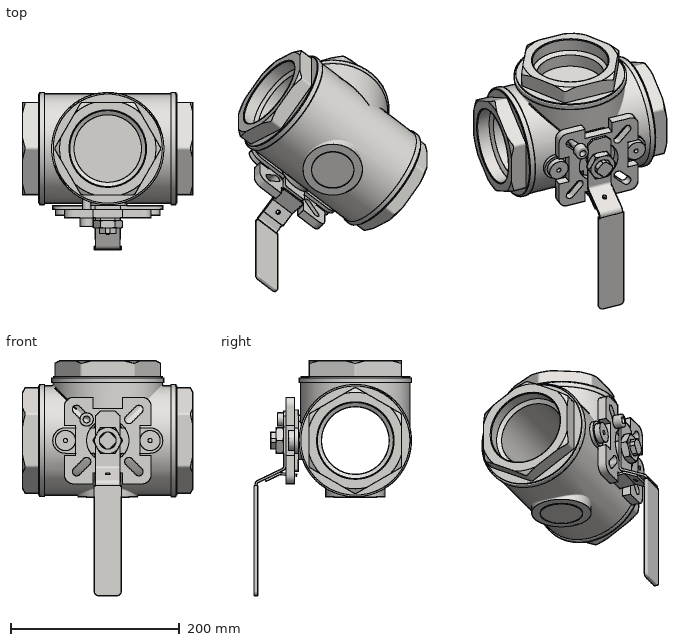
import cadquery as cq
import math

PIPE_DIAMETER = 130.0
FLANGE_DIAMETER = 133.0
FLANGE_WIDTH = 5.8
FLANGE_ROUNDING = 0.5
SEAM_ROUNDING = 1.0
SIDE_END = 100.95
BRANCH_END = 94.7
HEX_HEIGHT = 20.3
HEX_FLATS = 109.5
HEX_FACE_DIAMETER = 114.2
HEX_EDGE_ROUNDING = 4.0
COLLAR_WIDTH = 1.5
COLLAR_DIAMETER = 129.2
CHAMFER_ANGLE = 30
BORE_DIAMETER = 80.0
THREAD_DIAMETER = 90.0
THREAD_DEPTH = 16.0
BORE_START_DEPTH = 19.2
THREAD_MOUTH_DIAMETER = 92.0
BRANCH_FLOOR = 59.5

BASE_DIAMETER = 70.5
BASE_BOTTOM = -66.5
BASE_RING_DIAMETER = 50.0
BASE_RING_BOTTOM = -67.7

CROSS_BACK = 67.5
PLATE_BACK = 71.9
PLATE_FRONT = 82.2
LEVER_THICKNESS = 2.8
NUT_BACK = PLATE_FRONT + LEVER_THICKNESS
NUT_FRONT = 94.0
STEM_TIP = 100.3
PAD_FRONT = 79.0
SCREW_HEAD_FRONT = 92.5
SCREW_TIP = 55.7

BOSS_DIAMETER = 45.0
CROSS_ARM_WIDTH = 30.0
CROSS_HALF_HEIGHT = 36.5
CROSS_CORNER = 3.0
PAD_OFFSET = 50.0
PAD_DIAMETER = 24.0
PAD_HOLE_DIAMETER = 5.0
PAD_HOLE_DEPTH = 5.5
STEM_COLLAR_DIAMETER = 23.0
STEM_DIAMETER = 20.0
STEM_FLATS = 17.3

PLATE_SIZE = 102.5
PLATE_CORNER = 10.5
PLATE_HOLE_DIAMETER = 50.0
NOTCH_WIDTH = 35.0
NOTCH_FLOOR = 38.2
SLOT_WIDTH = 10.0
SLOT_TRAVEL = 16.7
SLOT_CENTRE_RADIUS = 43.7

NUT_FLATS = 30.4
NUT_FACE_DIAMETER = 31.2

SCREW_HEAD_DIAMETER = 16.0
SCREW_HEAD_ROUNDING = 1.0
SCREW_SOCKET_DIAMETER = 8.0
SCREW_SOCKET_DEPTH = 4.2

LEVER_WIDTH = 29.5
LEVER_TOP = 35.0
LEVER_TOP_CHAMFER = 6.0
LEVER_UPPER_BEND = -33.1
LEVER_LOWER_BEND = -49.5
LEVER_BOTTOM = BRANCH_END - 278.5
LEVER_HOLE_DIAMETER = 5.0
LEVER_HOLE_DISTANCE = 99.0
BEND_RADIUS = 3.3
GRIP_FRONT = 120.0
GRIP_THICKNESS = 4.7
GRIP_WIDTH = 32.0
GRIP_TOP = -53.5
GRIP_CORNER = 5.0
GRIP_ROUNDING = 0.97
CLIP_WIDTH = 30.5
CLIP_TAIL = 69.3
CLIP_TAIL_HEIGHT = -41.0
CLIP_START = 89.7
CLIP_END = 106.5


def front_plane(distance):
    """Workplane at a distance toward -Y, with local X along X, local Y along Z, normal along -Y."""
    return cq.Workplane("XZ", origin=(0, -distance, 0))


def front_cylinder(diameter, back, front, x=0, z=0):
    """Cylinder along Y between two distances toward -Y."""
    return front_plane(back).center(x, z).circle(diameter / 2).extrude(front - back)


def face_cone(face_diameter, reach, height):
    """Cylinder along Z whose top is turned down to a face circle at the hex chamfer angle."""
    drop = (reach - face_diameter / 2) * math.tan(math.radians(CHAMFER_ANGLE))
    profile = [(0, 0), (reach, 0), (reach, height - drop), (face_diameter / 2, height), (0, height)]
    return cq.Workplane("XZ").polyline(profile).close().revolve(360, (0, 0), (0, 1))


def hexagon(flats, height):
    """Hexagonal prism along Z with two corners on the X axis."""
    return cq.Workplane("XY").polygon(6, 2 * flats / math.sqrt(3)).extrude(height)


def port_head(end):
    """Flange, thin collar and hexagonal end of the pipe arm along +Z."""
    hex_start = end - HEX_HEIGHT
    flange = (
        cq.Workplane("XY", origin=(0, 0, hex_start - FLANGE_WIDTH))
        .circle(FLANGE_DIAMETER / 2)
        .extrude(FLANGE_WIDTH)
        .edges()
        .fillet(FLANGE_ROUNDING)
    )
    collar = cq.Workplane("XY", origin=(0, 0, hex_start)).circle(COLLAR_DIAMETER / 2).extrude(COLLAR_WIDTH)
    corner_reach = HEX_FLATS / math.sqrt(3)
    head = hexagon(HEX_FLATS, HEX_HEIGHT).edges("|Z").fillet(HEX_EDGE_ROUNDING)
    head = head.intersect(face_cone(HEX_FACE_DIAMETER, corner_reach, HEX_HEIGHT))
    return flange.union(collar).union(head.translate((0, 0, hex_start)))


def port_bore(end, floor):
    """Cutter for one port: bore down to a floor, tapered shoulder, threaded counterbore and mouth chamfer."""
    mouth_depth = (THREAD_MOUTH_DIAMETER - THREAD_DIAMETER) / 2
    profile = [
        (0, floor),
        (BORE_DIAMETER / 2, floor),
        (BORE_DIAMETER / 2, end - BORE_START_DEPTH),
        (THREAD_DIAMETER / 2, end - THREAD_DEPTH),
        (THREAD_DIAMETER / 2, end - mouth_depth),
        (THREAD_MOUTH_DIAMETER / 2, end),
        (0, end),
    ]
    return cq.Workplane("XZ").polyline(profile).close().revolve(360, (0, 0), (0, 1))


def to_side(shape, side):
    """Turns a shape built along +Z onto the +X (side = 1) or -X (side = -1) pipe arm."""
    return shape.rotate((0, 0, 0), (0, 1, 0), 90 * side)


def make_cross():
    """Cross behind the plate: a bar with round ends and an upright arm, with a pad on each bar end."""
    depth = PLATE_BACK - CROSS_BACK
    bar_length = 2 * PAD_OFFSET + CROSS_ARM_WIDTH
    bar = front_plane(CROSS_BACK).slot2D(bar_length, CROSS_ARM_WIDTH).extrude(depth)
    upright = (
        front_plane(CROSS_BACK)
        .rect(CROSS_ARM_WIDTH, 2 * CROSS_HALF_HEIGHT)
        .extrude(depth)
        .edges("|Y")
        .fillet(CROSS_CORNER)
    )
    cross = bar.union(upright)
    for side in (-1, 1):
        x = side * PAD_OFFSET
        cross = cross.union(front_cylinder(PAD_DIAMETER, PLATE_BACK, PAD_FRONT, x))
        cross = cross.cut(front_cylinder(PAD_HOLE_DIAMETER, PAD_FRONT - PAD_HOLE_DEPTH, PAD_FRONT, x))
    return cross


def squared_stem(back, front):
    """Round stem with four flats that leave a square standing on its corner."""
    square = front_plane(back).rect(STEM_FLATS, STEM_FLATS).extrude(front - back)
    square = square.rotate((0, 0, 0), (0, 1, 0), 45)
    return front_cylinder(STEM_DIAMETER, back, front).intersect(square)


def make_shell():
    """Through pipe, branch pipe and base disc, solid, with rounded seams between them."""
    branch = cq.Workplane("XY").circle(PIPE_DIAMETER / 2).extrude(BRANCH_END - HEX_HEIGHT)
    through = cq.Workplane("YZ").circle(PIPE_DIAMETER / 2).extrude(SIDE_END - HEX_HEIGHT, both=True)
    base = cq.Workplane("XY").circle(BASE_DIAMETER / 2).extrude(BASE_BOTTOM)
    shell = branch.union(through).union(base)
    shell = shell.edges("%BSPLINE").fillet(SEAM_ROUNDING)
    shell = shell.edges("%ELLIPSE").fillet(SEAM_ROUNDING)
    base_ring = cq.Workplane("XY").circle(BASE_RING_DIAMETER / 2).extrude(BASE_RING_BOTTOM)
    return shell.union(base_ring)


def make_housing():
    housing = make_shell().union(port_head(BRANCH_END))
    for side in (-1, 1):
        housing = housing.union(to_side(port_head(SIDE_END), side))
    boss = front_cylinder(BOSS_DIAMETER, PIPE_DIAMETER / 4, CROSS_BACK)
    collar = front_cylinder(STEM_COLLAR_DIAMETER, CROSS_BACK, PLATE_FRONT)
    housing = housing.union(boss).union(make_cross()).union(collar)
    housing = housing.union(squared_stem(PLATE_FRONT, STEM_TIP))

    housing = housing.cut(port_bore(BRANCH_END, BRANCH_FLOOR))
    for side in (-1, 1):
        housing = housing.cut(to_side(port_bore(SIDE_END, 0), side))
    return housing.cut(screw_shank())


def make_plate():
    depth = PLATE_FRONT - PLATE_BACK
    plate = (
        front_plane(PLATE_BACK)
        .rect(PLATE_SIZE, PLATE_SIZE)
        .extrude(depth)
        .edges("|Y")
        .fillet(PLATE_CORNER)
        .cut(front_cylinder(PLATE_HOLE_DIAMETER, PLATE_BACK, PLATE_FRONT))
    )
    notch_depth = PLATE_SIZE / 2 - NOTCH_FLOOR
    notch = (
        front_plane(PLATE_BACK)
        .center(NOTCH_FLOOR + notch_depth / 2, 0)
        .rect(notch_depth, NOTCH_WIDTH)
        .extrude(depth)
    )
    slot = (
        front_plane(PLATE_BACK)
        .center(SLOT_CENTRE_RADIUS, 0)
        .slot2D(SLOT_TRAVEL + SLOT_WIDTH, SLOT_WIDTH)
        .extrude(depth)
    )
    for quarter in range(4):
        plate = plate.cut(notch.rotate((0, 0, 0), (0, 1, 0), 90 * quarter))
        plate = plate.cut(slot.rotate((0, 0, 0), (0, 1, 0), 90 * quarter + 45))
    return plate


SCREW_OFFSET = (SLOT_CENTRE_RADIUS - SLOT_TRAVEL / 2) / math.sqrt(2)


def screw_shank():
    """Shank of the stop screw, at the inner end of the upper slot on the -X side."""
    return front_cylinder(SLOT_WIDTH, SCREW_TIP, PLATE_FRONT, -SCREW_OFFSET, SCREW_OFFSET)


def make_screw():
    head = front_cylinder(
        SCREW_HEAD_DIAMETER, PLATE_FRONT, SCREW_HEAD_FRONT, -SCREW_OFFSET, SCREW_OFFSET
    )
    head = head.faces("<Y").edges().fillet(SCREW_HEAD_ROUNDING)
    socket_radius = SCREW_SOCKET_DIAMETER / 2
    socket = cq.Workplane(
        cq.Solid.makeCone(
            socket_radius,
            0,
            SCREW_SOCKET_DEPTH,
            cq.Vector(-SCREW_OFFSET, -SCREW_HEAD_FRONT, SCREW_OFFSET),
            cq.Vector(0, 1, 0),
        )
    )
    return screw_shank().union(head).cut(socket)


def make_nut():
    height = NUT_FRONT - NUT_BACK
    turned = face_cone(NUT_FACE_DIAMETER, NUT_FLATS / math.sqrt(3), height)
    turned_back = turned.rotate((0, 0, 0), (1, 0, 0), 180).translate((0, 0, height))
    nut = hexagon(NUT_FLATS, height).intersect(turned).intersect(turned_back)
    nut = nut.cut(cq.Workplane("XY").circle(STEM_DIAMETER / 2).extrude(height))
    return nut.rotate((0, 0, 0), (1, 0, 0), 90).translate((0, -NUT_BACK, 0))


def unit_normal(start, end):
    """Unit vector at right angles to the line between two (Y, Z) points."""
    length = math.dist(start, end)
    return (start[1] - end[1]) / length, (end[0] - start[0]) / length


def strip_side(points, offset):
    """(Y, Z) points moved sideways by an offset, mitred at the bends."""
    normals = [unit_normal(a, b) for a, b in zip(points, points[1:])]
    moved = []
    for point, before, after in zip(points, normals[:1] + normals, normals + normals[-1:]):
        scale = offset / (1 + before[0] * after[0] + before[1] * after[1])
        moved.append((point[0] + scale * (before[0] + after[0]), point[1] + scale * (before[1] + after[1])))
    return moved


def bent_strip(points, width):
    """Sheet strip of lever thickness whose middle line follows (Y, Z) points, centred on X."""
    half = LEVER_THICKNESS / 2
    outline = strip_side(points, half) + strip_side(points, -half)[::-1]
    return cq.Workplane("YZ").polyline(outline).close().extrude(width / 2, both=True)


UPPER_Y = -(PLATE_FRONT + LEVER_THICKNESS / 2)
LOWER_Y = -(GRIP_FRONT - GRIP_THICKNESS / 2)
SLOPE = (LEVER_LOWER_BEND - LEVER_UPPER_BEND) / (LOWER_Y - UPPER_Y)


def lever_strip():
    """Flat on the plate, slope away from it and drop into the grip, with rounded bends."""
    points = [
        (UPPER_Y, LEVER_TOP),
        (UPPER_Y, LEVER_UPPER_BEND),
        (LOWER_Y, LEVER_LOWER_BEND),
        (LOWER_Y, GRIP_TOP - BEND_RADIUS),
    ]
    strip = bent_strip(points, LEVER_WIDTH)
    strip = strip.faces(">Z").edges("|Y").chamfer(LEVER_TOP_CHAMFER)
    for bend, hollow_side in ((1, -1), (2, 1)):
        offset = hollow_side * LEVER_THICKNESS / 2
        hollow = strip_side(points, offset)[bend]
        outer = strip_side(points, -offset)[bend]
        strip = strip.edges(cq.NearestToPointSelector((0, *hollow))).fillet(BEND_RADIUS)
        strip = strip.edges(cq.NearestToPointSelector((0, *outer))).fillet(BEND_RADIUS + LEVER_THICKNESS)
    return strip


def lever_clip():
    """Locking tab under the slope, whose tail reaches back through the lower notch of the plate."""
    drop = LEVER_THICKNESS * math.hypot(1, SLOPE)

    def below_slope(distance):
        return (-distance, LEVER_UPPER_BEND + SLOPE * (-distance - UPPER_Y) - drop)

    return bent_strip(
        [(-CLIP_TAIL, CLIP_TAIL_HEIGHT), below_slope(CLIP_START), below_slope(CLIP_END)], CLIP_WIDTH
    )


def lever_grip():
    """Sleeve with rounded edges around the lower end of the strip."""
    height = GRIP_TOP - LEVER_BOTTOM
    grip = front_plane(GRIP_FRONT - GRIP_THICKNESS).center(0, LEVER_BOTTOM + height / 2)
    grip = grip.rect(GRIP_WIDTH, height).extrude(GRIP_THICKNESS)
    grip = grip.edges("|Y and <Z").fillet(GRIP_CORNER)
    return grip.faces("<Y or >Y").edges().fillet(GRIP_ROUNDING)


def make_lever():
    lever = lever_strip().union(lever_clip()).union(lever_grip())
    lever = lever.cut(squared_stem(PLATE_FRONT, NUT_BACK))
    hole_depth = 3 * LEVER_THICKNESS
    hole_z = LEVER_UPPER_BEND + SLOPE * (-LEVER_HOLE_DISTANCE - UPPER_Y)
    hole = cq.Workplane(
        cq.Solid.makeCylinder(
            LEVER_HOLE_DIAMETER / 2,
            2 * hole_depth,
            cq.Vector(0, -LEVER_HOLE_DISTANCE - SLOPE * hole_depth, hole_z + hole_depth),
            cq.Vector(0, SLOPE, -1),
        )
    )
    return lever.cut(hole)


housing = make_housing()
plate = make_plate()
screw = make_screw()
nut = make_nut()
lever = make_lever()
result = cq.Compound.makeCompound([housing.val(), plate.val(), screw.val(), nut.val(), lever.val()])